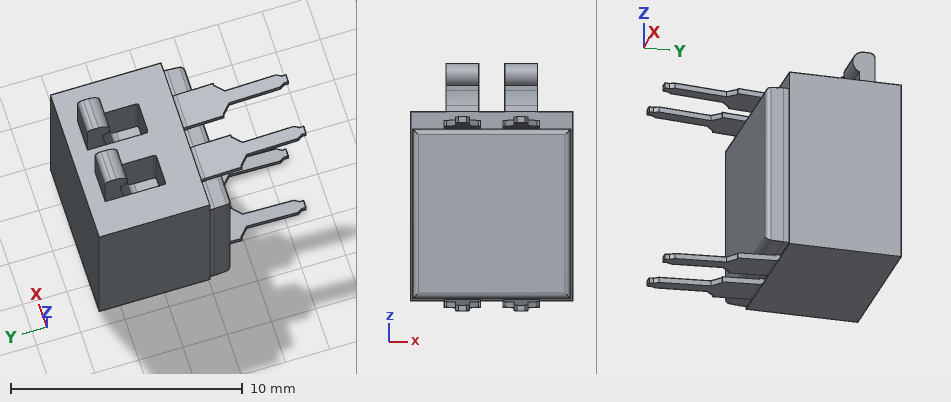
import cadquery as cq
import math

HOUSING_WIDTH = 7.0
HOUSING_DEPTH = 5.01
HOUSING_HEIGHT = 8.16
LEVER_HEIGHT = 2.09
LEVER_TOP = HOUSING_HEIGHT + LEVER_HEIGHT

SWITCH_PITCH = 2.54
SWITCH_CENTERS = (-SWITCH_PITCH / 2, SWITCH_PITCH / 2)

PLATE_INSET = 0.09
PLATE_TOP_DROP = 0.75
PLATE_THICKNESS = 0.25
COVER_THICKNESS = 0.76
COVER_TAPER = 3.0
COVER_RIM_RADIUS = 0.21
PLATE_WIDTH = HOUSING_WIDTH - 2 * PLATE_INSET
PLATE_BOTTOM = PLATE_INSET
PLATE_TOP = HOUSING_HEIGHT - PLATE_TOP_DROP
PLATE_HEIGHT = PLATE_TOP - PLATE_BOTTOM
PLATE_CENTER_Z = (PLATE_TOP + PLATE_BOTTOM) / 2

SLOT_WIDTH = 1.43
SLOT_LENGTH = 2.75
SLOT_DEPTH = 2.47
SLOT_BACK_WALL = 0.75
SLOT_CORNER_RADIUS = 0.11
SLOT_BACK_Y = HOUSING_DEPTH - SLOT_BACK_WALL
SLOT_FLOOR_Z = HOUSING_HEIGHT - SLOT_DEPTH

LEVER_BACK_RADIUS = 0.26
HEAD_RADIUS = 0.5
HEAD_CENTER_OFFSET = 0.5
NECK_THICKNESS = 0.71
NECK_STRAIGHT_END_DROP = 1.17
FLARE_START_DROP = 1.82
FLARE_ANGLE = math.radians(15)
FLOOR_BLEND_RADIUS = 0.3

PIN_THICKNESS = PLATE_THICKNESS
PIN_SPLAY = math.radians(3)
PIN_GAP = 0.039
PIN_REACH = HOUSING_DEPTH
PIN_WIDTH = 1.58
PIN_SHOULDER_REACH = 1.9
PIN_SHOULDER_LEDGE = 0.1
PIN_NECK_REACH = 2.28
PIN_NECK_WIDTH = 0.6
PIN_TIP_START = 4.6
PIN_TIP_END = 4.82
PIN_TIP_WIDTH = 0.34


def make_housing():
    housing = cq.Workplane("XY").box(
        HOUSING_WIDTH, HOUSING_DEPTH, HOUSING_HEIGHT, centered=(True, False, False)
    )
    for center_x in SWITCH_CENTERS:
        slot = (
            cq.Workplane("XY", origin=(center_x, SLOT_BACK_Y - SLOT_LENGTH / 2, SLOT_FLOOR_Z))
            .box(SLOT_WIDTH, SLOT_LENGTH, SLOT_DEPTH, centered=(True, True, False))
            .edges("|Z and <Y")
            .fillet(SLOT_CORNER_RADIUS)
        )
        housing = housing.cut(slot)
    return housing


def make_base():
    plate = (
        cq.Workplane("XZ", origin=(0, 0, PLATE_CENTER_Z))
        .rect(PLATE_WIDTH, PLATE_HEIGHT)
        .extrude(PLATE_THICKNESS)
    )
    cover = (
        cq.Workplane("XZ", origin=(0, -PLATE_THICKNESS, PLATE_CENTER_Z))
        .rect(PLATE_WIDTH, PLATE_HEIGHT)
        .extrude(COVER_THICKNESS, taper=COVER_TAPER)
        .faces("<Y")
        .edges()
        .fillet(COVER_RIM_RADIUS)
    )
    return plate.union(cover)


def make_lever(center_x):
    def point(offset, height):
        return (SLOT_BACK_Y - offset, height)

    head_center_z = LEVER_TOP - HEAD_RADIUS
    head_end_z = head_center_z - math.sqrt(HEAD_RADIUS**2 - (NECK_THICKNESS - HEAD_CENTER_OFFSET) ** 2)
    neck_end_z = LEVER_TOP - NECK_STRAIGHT_END_DROP
    flare_start_z = LEVER_TOP - FLARE_START_DROP
    neck_curve_radius = (neck_end_z - flare_start_z) / math.sin(FLARE_ANGLE)

    def neck_curve(angle):
        return point(
            NECK_THICKNESS + neck_curve_radius * (1 - math.cos(angle)),
            neck_end_z - neck_curve_radius * math.sin(angle),
        )

    flare_start_offset = NECK_THICKNESS + neck_curve_radius * (1 - math.cos(FLARE_ANGLE))
    flare_end_z = SLOT_FLOOR_Z + FLOOR_BLEND_RADIUS * (1 - math.sin(FLARE_ANGLE))
    flare_end_offset = flare_start_offset + (flare_start_z - flare_end_z) * math.tan(FLARE_ANGLE)
    blend_center_offset = flare_end_offset + FLOOR_BLEND_RADIUS * math.cos(FLARE_ANGLE)
    blend_mid_angle = (math.pi / 2 + FLARE_ANGLE) / 2
    blend_middle = point(
        blend_center_offset - FLOOR_BLEND_RADIUS * math.cos(blend_mid_angle),
        SLOT_FLOOR_Z + FLOOR_BLEND_RADIUS * (1 - math.sin(blend_mid_angle)),
    )
    back_arc_inset = LEVER_BACK_RADIUS * (1 - math.sqrt(0.5))

    return (
        cq.Workplane("YZ", origin=(center_x, 0, 0))
        .moveTo(*point(0, SLOT_FLOOR_Z))
        .lineTo(*point(0, LEVER_TOP - LEVER_BACK_RADIUS))
        .threePointArc(
            point(back_arc_inset, LEVER_TOP - back_arc_inset),
            point(LEVER_BACK_RADIUS, LEVER_TOP),
        )
        .lineTo(*point(HEAD_CENTER_OFFSET, LEVER_TOP))
        .threePointArc(
            point(HEAD_CENTER_OFFSET + HEAD_RADIUS, head_center_z),
            point(NECK_THICKNESS, head_end_z),
        )
        .lineTo(*point(NECK_THICKNESS, neck_end_z))
        .threePointArc(neck_curve(FLARE_ANGLE / 2), neck_curve(FLARE_ANGLE))
        .lineTo(*point(flare_end_offset, flare_end_z))
        .threePointArc(blend_middle, point(blend_center_offset, SLOT_FLOOR_Z))
        .close()
        .extrude(SLOT_WIDTH / 2, both=True)
    )


def make_pin_pair(center_x):
    inner_y = -PLATE_THICKNESS
    inner_z = PLATE_TOP + PIN_GAP
    blade_rise = (PIN_REACH - PLATE_THICKNESS) * math.tan(PIN_SPLAY)
    blade_height = PIN_THICKNESS / math.cos(PIN_SPLAY)

    def bend(angle):
        return (inner_y + PIN_THICKNESS * math.cos(angle), inner_z + PIN_THICKNESS * math.sin(angle))

    bend_end_angle = math.pi / 2 - PIN_SPLAY
    side_shape = (
        cq.Workplane("YZ", origin=(center_x, 0, 0))
        .moveTo(0, PLATE_CENTER_Z)
        .lineTo(*bend(0))
        .threePointArc(bend(bend_end_angle / 2), bend(bend_end_angle))
        .lineTo(-PIN_REACH, inner_z + blade_rise + blade_height)
        .lineTo(-PIN_REACH, inner_z + blade_rise)
        .lineTo(inner_y, inner_z)
        .lineTo(inner_y, PLATE_CENTER_Z)
        .close()
        .extrude(PIN_WIDTH / 2, both=True)
    )

    half_outline = [
        (PIN_WIDTH / 2, 0),
        (PIN_WIDTH / 2, -PIN_SHOULDER_REACH),
        (PIN_WIDTH / 2 - PIN_SHOULDER_LEDGE, -PIN_SHOULDER_REACH),
        (PIN_NECK_WIDTH / 2, -PIN_NECK_REACH),
        (PIN_NECK_WIDTH / 2, -PIN_TIP_START),
        (PIN_TIP_WIDTH / 2, -PIN_TIP_END),
        (PIN_TIP_WIDTH / 2, -PIN_REACH),
    ]
    other_half = [(-x, y) for x, y in reversed(half_outline)]
    plan_shape = (
        cq.Workplane("XY", origin=(center_x, 0, 0))
        .polyline(half_outline + other_half)
        .close()
        .extrude(HOUSING_HEIGHT)
    )
    upper_pin = side_shape.intersect(plan_shape)
    lower_pin = upper_pin.mirror("XY", (0, 0, PLATE_CENTER_Z))
    return upper_pin.union(lower_pin)


result = make_housing().union(make_base())
for switch_x in SWITCH_CENTERS:
    result = result.union(make_lever(switch_x)).union(make_pin_pair(switch_x))